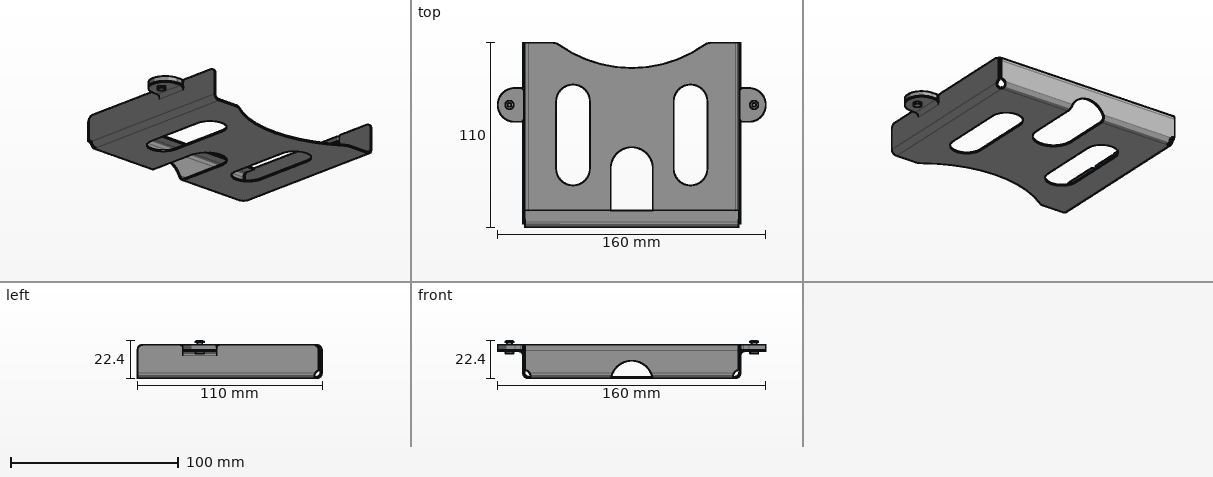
import cadquery as cq
import math

total_width = 160.0
total_depth = 110.0
total_height = 22.4

sheet = 1.0
bend_outer = 3.4
bend_inner = bend_outer - sheet
tray_width = 130.0
tray_height = 20.0
wall_front = 2.0
wall_corner_radius = 3.0
lip_depth = 10.0
side_gap = 0.2

relief_radius = 3.5
relief_inset = 1.0
relief_height = 1.3

slot_width = 20.0
slot_length = 60.0
slot_spacing = 70.0
slot_center_y = 55.0
notch_width = 25.0
notch_end_y = 47.7
notch_arch_height = 10.4
scoop_radius = 75.0
scoop_depth = 15.0
scoop_corner_radius = 6.0

tab_width = 20.3
tab_underside = 16.0
tab_center_y = 73.0
tab_notch_radius = 1.5
pad_inner_x = 64.3
pad_corner_radius = 2.2
pin_x = 73.0
pin_shank_diameter = 3.2
pin_head_diameter = 5.1
pin_head_height = 1.5
pin_head_chamfer = 0.24
pin_tip_diameter = 2.4
pin_collar_underside = 21.5
pin_collar_rim = 0.5

half_width = total_width / 2
half_tray = tray_width / 2
wall_inner_x = half_tray - sheet
channel_half_width = wall_inner_x - side_gap
notch_radius = notch_width / 2
tab_top = tab_underside + sheet
tab_radius = tab_width / 2
tab_round_x = half_width - tab_radius
tab_bend_x = half_tray + bend_inner
tab_bend_z = tab_top - bend_outer
sides = (-1, 1)


def block(x_range, y_range, z_range):
    """Box between the given limits on each axis."""
    limits = (x_range, y_range, z_range)
    size = [high - low for low, high in limits]
    corner = cq.Vector(*[low for low, high in limits])
    return cq.Workplane("XY").box(*size, centered=False).translate(corner)


def mirror_to(side, body):
    """Body modelled on +X, moved to the requested side of the tray."""
    return body if side > 0 else body.mirror("YZ")


def make_tray():
    """Floor with the two side walls bent up."""
    y_range = (wall_front, total_depth)
    outside = block((-half_tray, half_tray), y_range, (0, tray_height))
    outside = outside.edges("|Y and <Z").fillet(bend_outer)
    inside = block((-wall_inner_x, wall_inner_x), y_range, (sheet, 2 * tray_height))
    inside = inside.edges("|Y and <Z").fillet(bend_inner)
    floor_half = half_tray - bend_outer
    front_trim = block((-floor_half, floor_half), (0, bend_outer), (0, sheet))
    tray = outside.cut(inside).cut(front_trim)
    return tray.edges("|X and >Z").fillet(wall_corner_radius)


def make_channel():
    """Front wall with its bottom bend and the lip folded back at the top."""
    x_range = (-channel_half_width, channel_half_width)
    outside = block(x_range, (0, lip_depth), (0, tray_height))
    outside = outside.edges("|X and <Y").fillet(bend_outer)
    inside = block(x_range, (sheet, 2 * lip_depth), (sheet, tray_height - sheet))
    inside = inside.edges("|X and <Y").fillet(bend_inner)
    below_lip = block(x_range, (bend_outer, lip_depth), (0, tray_height / 2))
    return outside.cut(inside).cut(below_lip)


def channel_relief():
    """Relief at the +X end of the front bend."""
    return (
        cq.Workplane("XZ")
        .center(half_tray - relief_inset, relief_height)
        .circle(relief_radius)
        .extrude(-bend_outer)
    )


def tray_relief():
    """Relief at the front end of the +X side bend."""
    return (
        cq.Workplane("YZ", origin=(half_tray - bend_outer, 0, 0))
        .center(relief_inset, relief_height)
        .circle(relief_radius)
        .extrude(bend_outer)
    )


def floor_slots():
    """Two long slots along Y, one each side of the middle."""
    centers = [(side * slot_spacing / 2, slot_center_y) for side in sides]
    return (
        cq.Workplane("XY")
        .pushPoints(centers)
        .slot2D(slot_length, slot_width, 90)
        .extrude(sheet)
    )


def floor_notch():
    """Round-ended notch running from the front bend into the floor."""
    round_y = notch_end_y - notch_radius
    straight = block((-notch_radius, notch_radius), (bend_outer, round_y), (0, sheet))
    round_end = cq.Workplane("XY").center(0, round_y).circle(notch_radius).extrude(sheet)
    return straight.union(round_end)


def front_arch():
    """Arched continuation of the floor notch through the front bend and wall."""
    return (
        cq.Workplane("XZ")
        .center(0, notch_arch_height - notch_radius)
        .circle(notch_radius)
        .extrude(-bend_outer)
    )


def cut_scoop(tray):
    """Shallow arc in the back edge of the floor, with rounded corners."""
    center_y = total_depth - scoop_depth + scoop_radius
    scoop = cq.Workplane("XY").center(0, center_y).circle(scoop_radius).extrude(sheet)
    corner_x = math.sqrt(scoop_radius**2 - (scoop_radius - scoop_depth) ** 2)
    tray = tray.cut(scoop)
    for side in sides:
        corner = cq.NearestToPointSelector((side * corner_x, total_depth, sheet / 2))
        tray = tray.edges("|Z").edges(corner).fillet(scoop_corner_radius)
    return tray


def cut_tab_notches(tray):
    """Notches in the side walls where the tabs are bent outward."""
    y_range = (tab_center_y - tab_radius, tab_center_y + tab_radius)
    tray = tray.cut(block((-half_tray, half_tray), y_range, (tab_bend_z, tray_height)))
    for side in sides:
        for y in y_range:
            corner = cq.NearestToPointSelector((side * (half_tray - sheet / 2), y, tray_height))
            tray = tray.edges("|X").edges(corner).fillet(tab_notch_radius)
    return tray


def pin_bore():
    """Hole for the +X pin through its tab and pad."""
    center = cq.Workplane("XY").center(pin_x, tab_center_y)
    return center.circle(pin_shank_diameter / 2).extrude(total_height)


def make_tab():
    """Tab on the +X side: quarter bend out of the wall and a round-ended plate."""
    diagonal = math.sqrt(0.5)
    profile = (
        cq.Workplane("XZ", origin=(0, tab_center_y + tab_radius, 0))
        .moveTo(wall_inner_x, tab_bend_z)
        .threePointArc(
            (tab_bend_x - bend_outer * diagonal, tab_bend_z + bend_outer * diagonal),
            (tab_bend_x, tab_top),
        )
        .lineTo(tab_round_x, tab_top)
        .lineTo(tab_round_x, tab_underside)
        .lineTo(tab_bend_x, tab_underside)
        .threePointArc(
            (tab_bend_x - bend_inner * diagonal, tab_bend_z + bend_inner * diagonal),
            (half_tray, tab_bend_z),
        )
        .close()
        .extrude(tab_width)
    )
    round_end = (
        cq.Workplane("XY", origin=(tab_round_x, tab_center_y, tab_underside))
        .circle(tab_radius)
        .extrude(sheet)
        .intersect(block((tab_round_x, half_width), (0, total_depth), (0, tray_height)))
    )
    return profile.union(round_end).cut(pin_bore())


def make_bracket():
    """Complete sheet-metal bracket as one solid."""
    tray = cut_tab_notches(cut_scoop(make_tray()))
    channel = make_channel()
    for side in sides:
        tray = tray.cut(mirror_to(side, tray_relief()))
        channel = channel.cut(mirror_to(side, channel_relief()))
    bracket = tray.union(channel)
    bracket = bracket.cut(floor_slots()).cut(floor_notch()).cut(front_arch())
    for side in sides:
        bracket = bracket.union(mirror_to(side, make_tab()))
    return bracket


def make_pad(side):
    """D-shaped pad lying on a tab, with rounded corners on its straight end."""
    pad = (
        cq.Workplane("XY", origin=(0, tab_center_y, tab_top))
        .moveTo(pad_inner_x, -tab_radius)
        .lineTo(tab_round_x, -tab_radius)
        .threePointArc((half_width, 0), (tab_round_x, tab_radius))
        .lineTo(pad_inner_x, tab_radius)
        .close()
        .extrude(tray_height - tab_top)
        .edges("|Z and <X")
        .fillet(pad_corner_radius)
    )
    return mirror_to(side, pad.cut(pin_bore()))


def make_pin(side):
    """Turned pin: head under the tab, shank, and a conical collar on top."""
    head_radius = pin_head_diameter / 2
    shank_radius = pin_shank_diameter / 2
    head_bottom = tab_underside - pin_head_height
    half_profile = [
        (0, head_bottom),
        (head_radius - pin_head_chamfer, head_bottom),
        (head_radius, head_bottom + pin_head_chamfer),
        (head_radius, tab_underside),
        (shank_radius, tab_underside),
        (shank_radius, pin_collar_underside),
        (head_radius, pin_collar_underside),
        (head_radius, pin_collar_underside + pin_collar_rim),
        (pin_tip_diameter / 2, total_height),
        (0, total_height),
    ]
    pin = cq.Workplane("XZ").polyline(half_profile).close().revolve(360, (0, 0), (0, 1))
    return mirror_to(side, pin.translate((pin_x, tab_center_y, 0)))


bracket = make_bracket()
pads = [make_pad(side) for side in sides]
pins = [make_pin(side) for side in sides]

bodies = [bracket, *pads, *pins]
result = cq.Compound.makeCompound([body.solids().val() for body in bodies])